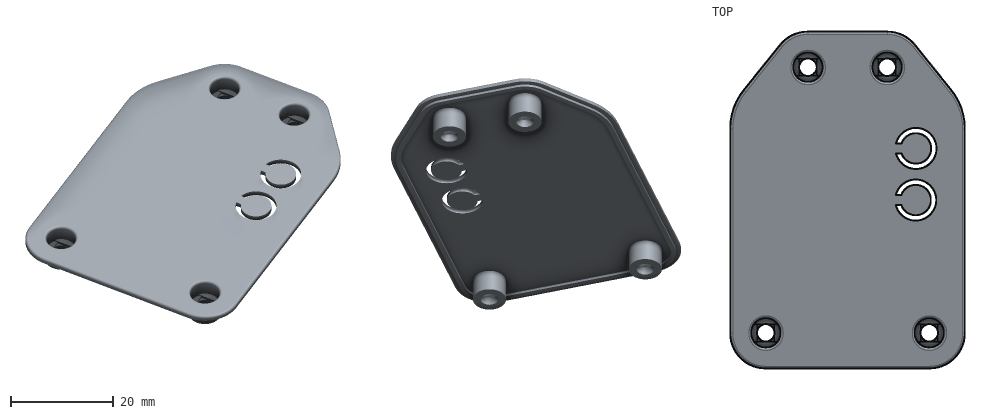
import cadquery as cq

width = 46.0
length = 66.0
top_edge_half_width = 11.1
shoulder_drop = 14.8
corner_radius = 7.0
shoulder_radius = 12.0

total_height = 5.58
plate_thickness = 1.0
lip_height = 0.5
lip_inset = 1.0
lip_width = 1.0
edge_fillet = 0.5

boss_diameter = 6.5
boss_inset = corner_radius
upper_boss_x = 7.75
lower_boss_x = 16.0
head_diameter = 5.75
head_rim_fillet = 0.5
screw_diameter = 3.4
head_depth = 3.2
relief_step = 0.3

button_diameter = 6.0
button_slot_diameter = 8.0
button_neck_width = 2.0
button_positions = [(13.4, 10.1), (13.35, 0.0)]

half_width = width / 2
half_length = length / 2
boss_positions = [
    (-upper_boss_x, half_length - boss_inset),
    (upper_boss_x, half_length - boss_inset),
    (-lower_boss_x, -half_length + boss_inset),
    (lower_boss_x, -half_length + boss_inset),
]


def outline_prism(thickness):
    """Full plate outline with rounded corners, hanging down from Z = 0."""
    shoulder_y = half_length - shoulder_drop
    corners = [
        (-half_width, -half_length),
        (half_width, -half_length),
        (half_width, shoulder_y),
        (top_edge_half_width, half_length),
        (-top_edge_half_width, half_length),
        (-half_width, shoulder_y),
    ]
    prism = cq.Workplane("XY").polyline(corners).close().extrude(-thickness)
    below_shoulder = (-width, 0, -thickness)
    above_shoulder = (width, half_length - corner_radius, 0)
    shoulder_zone = cq.selectors.BoxSelector(below_shoulder, above_shoulder)
    prism = prism.edges("|Z").edges(shoulder_zone).fillet(shoulder_radius)
    prism = prism.edges("|Z").edges("<Y or >Y").fillet(corner_radius)
    return prism


def inset_layer(plate, inset):
    """Solid layer of lip height under the plate, drawn in from its outline."""
    outline = plate.faces("<Z").wires().toPending().offset2D(-inset)
    return outline.extrude(-lip_height, combine=False)


def make_plate():
    """Plate with a rounded top edge and a narrow locating lip around its underside."""
    plate = outline_prism(plate_thickness)
    lip = inset_layer(plate, lip_inset).cut(inset_layer(plate, lip_inset + lip_width))
    return plate.faces(">Z").edges().fillet(edge_fillet).union(lip)


def make_bosses():
    return (
        cq.Workplane("XY")
        .workplane(offset=-total_height)
        .pushPoints(boss_positions)
        .circle(boss_diameter / 2)
        .extrude(total_height - plate_thickness)
    )


def make_screw_cutter():
    """Head recess with rounded rim, then a flat-sided slot, a square and the screw hole."""
    head_radius = head_diameter / 2
    head = cq.Workplane("XY").circle(head_radius).extrude(-head_depth)
    rim = (
        cq.Workplane("XZ")
        .lineTo(head_radius + head_rim_fillet, 0)
        .radiusArc((head_radius, -head_rim_fillet), -head_rim_fillet)
        .lineTo(0, -head_rim_fillet)
        .close()
        .revolve(360, (0, 0), (0, 1))
    )
    slot_depth = head_depth + relief_step
    slot = (
        cq.Workplane("XY")
        .rect(head_diameter, screw_diameter)
        .extrude(-slot_depth)
        .intersect(cq.Workplane("XY").circle(head_radius).extrude(-slot_depth))
    )
    square_depth = slot_depth + relief_step
    square = cq.Workplane("XY").rect(screw_diameter, screw_diameter).extrude(-square_depth)
    hole = cq.Workplane("XY").circle(screw_diameter / 2).extrude(-total_height)
    return head.union(rim).union(slot).union(square).union(hole)


def make_button_cutter():
    """C-shaped slot, open to the left where the neck stays."""
    ring = (
        cq.Workplane("XY")
        .circle(button_slot_diameter / 2)
        .circle(button_diameter / 2)
        .extrude(-plate_thickness)
    )
    neck = (
        cq.Workplane("XY")
        .center(-button_slot_diameter / 2, 0)
        .rect(button_slot_diameter, button_neck_width)
        .extrude(-plate_thickness)
    )
    return ring.cut(neck)


result = make_plate().union(make_bosses())
for x, y in boss_positions:
    result = result.cut(make_screw_cutter().translate((x, y, 0)))
for x, y in button_positions:
    result = result.cut(make_button_cutter().translate((x, y, 0)))